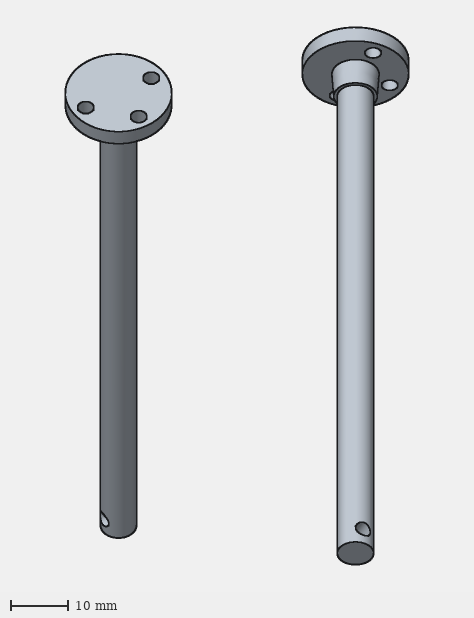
import cadquery as cq

total_height = 109.9
flange_diameter = 18.6
flange_thickness = 3.1
collar_height = 4.9
collar_top_diameter = 8.2
collar_bottom_diameter = 7.6
rod_diameter = 6.4
hole_diameter = 2.9
bolt_circle_radius = 6.7
cross_hole_height = 3.2

flange_bottom = total_height - flange_thickness
collar_bottom = flange_bottom - collar_height


def make_body():
    """Revolve the rod, tapered collar and flange as one profile about Z."""
    half_profile = [
        (0, 0),
        (rod_diameter / 2, 0),
        (rod_diameter / 2, collar_bottom),
        (collar_bottom_diameter / 2, collar_bottom),
        (collar_top_diameter / 2, flange_bottom),
        (flange_diameter / 2, flange_bottom),
        (flange_diameter / 2, total_height),
        (0, total_height),
    ]
    return cq.Workplane("XZ").polyline(half_profile).close().revolve(360, (0, 0), (0, 1))


def make_flange_holes():
    """Three through holes in the flange, on +X, +Y and -Y."""
    centers = [
        (bolt_circle_radius, 0),
        (0, bolt_circle_radius),
        (0, -bolt_circle_radius),
    ]
    return (
        cq.Workplane("XY", origin=(0, 0, flange_bottom))
        .pushPoints(centers)
        .circle(hole_diameter / 2)
        .extrude(flange_thickness)
    )


def make_cross_hole():
    """Hole along Y, right through the lower end of the rod."""
    return (
        cq.Workplane("XZ", origin=(0, 0, cross_hole_height))
        .circle(hole_diameter / 2)
        .extrude(rod_diameter, both=True)
    )


result = make_body().cut(make_flange_holes()).cut(make_cross_hole())